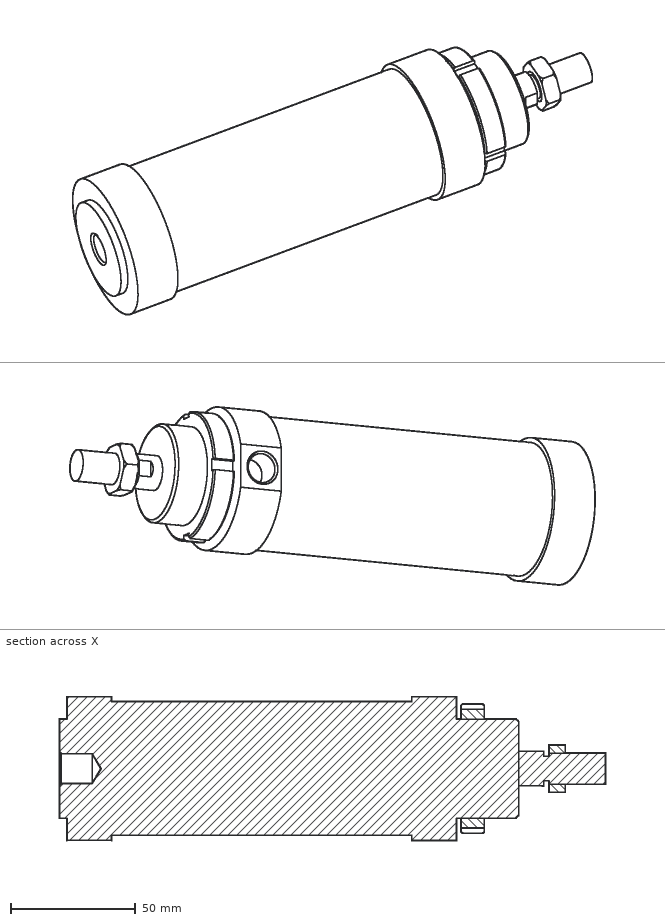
import cadquery as cq
import math

overall_length = 220.0

rear_boss_length = 3.0
cap_length = 18.0
tube_length = 120.8
front_boss_length = 25.0
cap_radius = 29.0
tube_radius = 27.0
boss_radius = 20.0
boss_chamfer = 1.0

rear_cap_start = rear_boss_length
tube_start = rear_cap_start + cap_length
front_cap_start = tube_start + tube_length
front_boss_start = front_cap_start + cap_length
front_face = front_boss_start + front_boss_length

port_radius = 6.0
port_mouth_radius = 6.8
port_chamfer = port_mouth_radius - port_radius
port_depth = 13.2
port_tip_half_angle = math.radians(59)
rear_port_tip_depth = port_radius / math.tan(port_tip_half_angle)
port_flat_width = 17.8
port_flat_x = -math.sqrt(cap_radius**2 - (port_flat_width / 2) ** 2)
side_port_y = front_cap_start + 8.4

ring_gap = 1.8
ring_thickness = 9.5
ring_radius = 26.2
ring_chamfer = 0.7
ring_slot_width = 4.6
ring_slot_depth = 2.2
ring_slot_count = 4
ring_start = front_boss_start + ring_gap

rod_radius = 7.0
rod_length = 10.1
thread_radius = 6.4
neck_radius = 5.0
neck_length = 2.0
wrench_flat_length = 6.0
wrench_flat_width = 12.5
neck_start = front_face + rod_length
thread_start = neck_start + neck_length

hex_across_flats = 19.1
hex_across_corners = hex_across_flats / math.cos(math.pi / 6)
hex_thickness = 6.5
hex_chamfer = 0.9


def cylinder(radius, start, length):
    """Solid cylinder about the Y axis, from y = start towards +Y."""
    return cq.Workplane(cq.Solid.makeCylinder(radius, length, cq.Vector(0, start, 0), cq.Vector(0, 1, 0)))


def port_cutter(tip_depth):
    """Port about the Y axis: chamfered mouth at y = 0, straight bore, and a cone of tip_depth (0 is flat)."""
    return (
        cq.Workplane("XY")
        .moveTo(0, 0)
        .lineTo(port_mouth_radius, 0)
        .lineTo(port_radius, port_chamfer)
        .lineTo(port_radius, port_depth)
        .lineTo(0, port_depth + tip_depth)
        .close()
        .revolve(360, (0, 0, 0), (0, 1, 0))
    )


def make_housing():
    """Tube with its two caps and bosses, the port flat and both ports."""
    front_cap = cylinder(cap_radius, front_cap_start, cap_length)
    flat_cutter = cq.Workplane("XY").box(
        cap_radius, cap_length, 2 * cap_radius, centered=(True, False, True)
    ).translate((port_flat_x - cap_radius / 2, front_cap_start, 0))
    front_cap = front_cap.cut(flat_cutter)

    front_boss = cylinder(boss_radius, front_boss_start, front_boss_length)
    front_boss = front_boss.faces(">Y").chamfer(boss_chamfer)

    side_port = port_cutter(0).rotate((0, 0, 0), (0, 0, 1), -90).translate((port_flat_x, side_port_y, 0))
    rear_port = port_cutter(rear_port_tip_depth)
    return (
        cylinder(boss_radius, 0, rear_boss_length)
        .union(cylinder(cap_radius, rear_cap_start, cap_length))
        .union(cylinder(tube_radius, tube_start, tube_length))
        .union(front_cap)
        .union(front_boss)
        .cut(rear_port)
        .cut(side_port)
    )


def make_ring_nut():
    """Round nut with evenly spaced slots in its rim, bored to fit the front boss."""
    ring = cylinder(ring_radius, ring_start, ring_thickness).edges().chamfer(ring_chamfer)
    ring = ring.cut(cylinder(boss_radius, ring_start, ring_thickness))
    slot = cq.Workplane("XY").box(
        2 * ring_slot_depth, ring_thickness, ring_slot_width, centered=(True, False, True)
    ).translate((ring_radius, ring_start, 0))
    for index in range(ring_slot_count):
        ring = ring.cut(slot.rotate((0, 0, 0), (0, 1, 0), index * 360 / ring_slot_count))
    return ring


def make_rod():
    """Rod with two wrench flats that run out at 45 degrees, a thread-relief neck and a threaded end."""
    shank = cylinder(rod_radius, front_face, rod_length)
    half_width = wrench_flat_width / 2
    ramp_end = neck_start - wrench_flat_length
    ramp_start = ramp_end + rod_radius - half_width
    wrench_profile = (
        cq.Workplane("XY")
        .moveTo(rod_radius, front_face)
        .lineTo(rod_radius, ramp_end)
        .lineTo(half_width, ramp_start)
        .lineTo(half_width, neck_start)
        .lineTo(0, neck_start)
        .lineTo(0, front_face)
        .close()
        .extrude(rod_radius, both=True)
    )
    shank = shank.intersect(wrench_profile.union(wrench_profile.mirror("YZ")))
    return (
        shank
        .union(cylinder(neck_radius, neck_start, neck_length))
        .union(cylinder(thread_radius, thread_start, overall_length - thread_start))
    )


def make_hex_nut():
    """Hexagon nut with corners on +X and -X, its corners chamfered on both faces."""
    hexagon = (
        cq.Workplane("XZ", origin=(0, thread_start, 0))
        .polygon(6, hex_across_corners)
        .extrude(-hex_thickness)
    )
    corner_cone = cylinder(hex_across_corners / 2, thread_start, hex_thickness).edges().chamfer(hex_chamfer)
    return hexagon.intersect(corner_cone).cut(cylinder(thread_radius, thread_start, hex_thickness))


housing = make_housing()
ring_nut = make_ring_nut()
rod = make_rod()
hex_nut = make_hex_nut()

result = cq.Compound.makeCompound([housing.val(), ring_nut.val(), rod.val(), hex_nut.val()])